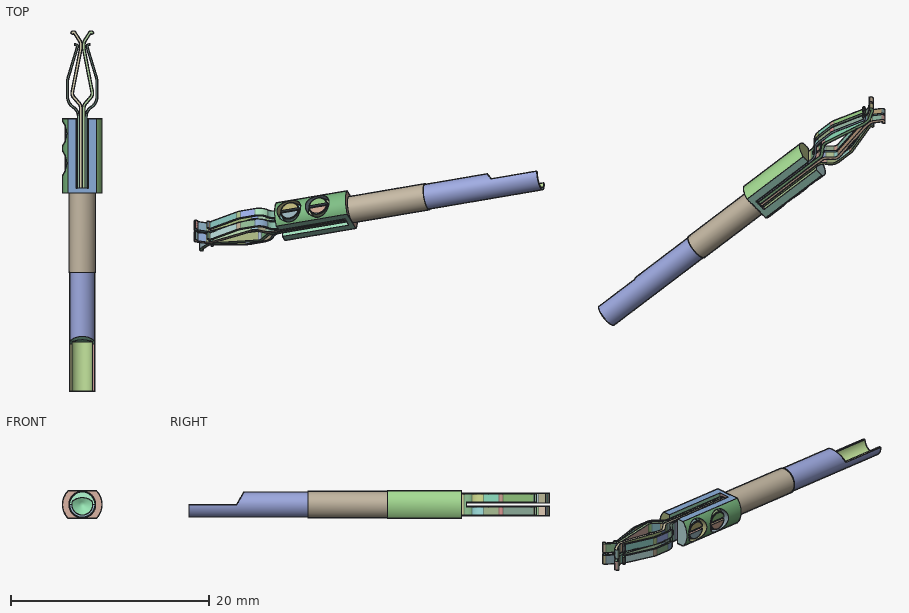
import cadquery as cq
import math

TOTAL_LENGTH = 36.35

TAIL_DIAMETER = 2.55
TAIL_LENGTH = 12.0
BORE_DIAMETER = 2.1
BORE_DEPTH = 5.0
DRILL_POINT_ANGLE = 118.0
CUP_FLOOR_LENGTH = 4.8
CUP_SLANT_ANGLE = 30.0

COLLAR_DIAMETER = 2.7
COLLAR_LENGTH = 8.0

BLOCK_DIAMETER = 4.0
BLOCK_HEIGHT = 2.8
BLOCK_LENGTH = 7.5
SLOT_WIDTH = 1.2
SLOT_FLOOR_THICKNESS = 0.5

SCREW_OFFSETS = (1.5, 4.5)
RECESS_DIAMETER = 2.5
RECESS_FLOOR_X = -1.0
HEAD_DIAMETER = 1.95
HEAD_CHAMFER = 0.08
HEAD_FACE_X = -1.75
DRIVER_SLOT_WIDTH = 0.3
DRIVER_SLOT_DEPTH = 0.3

INNER_LEAF_THICKNESS = 0.28
INNER_LEAF_HEIGHT = 2.3
INNER_SLIT_HEIGHT = 0.3
OUTER_LEAF_THICKNESS = 0.2
OUTER_LEAF_HEIGHT = 2.1
OUTER_SLIT_HEIGHT = 0.5
LEAF_CENTRE_GAP = 0.04
SLIT_START_FROM_BLOCK = 0.5
SLIT_OVERRUN = 0.5

BLOCK_BACK = TAIL_LENGTH + COLLAR_LENGTH
BLOCK_FRONT = BLOCK_BACK + BLOCK_LENGTH
SLOT_FLOOR = BLOCK_BACK + SLOT_FLOOR_THICKNESS
SLIT_START = BLOCK_FRONT + SLIT_START_FROM_BLOCK
INNER_STEM_X = (LEAF_CENTRE_GAP + INNER_LEAF_THICKNESS) / 2
OUTER_STEM_X = LEAF_CENTRE_GAP / 2 + INNER_LEAF_THICKNESS + OUTER_LEAF_THICKNESS / 2

INNER_LEAF_PATH = (
    (INNER_STEM_X, SLOT_FLOOR, 0),
    (INNER_STEM_X, 28.85, 0.6),
    (1.06, 29.88, 0.6),
    (INNER_STEM_X, 34.5, 0.3),
    (INNER_STEM_X, 35.2, 0.5),
    (0.88, 36.34, 0.15),
    (1.08, 36.04, 0),
)
OUTER_LEAF_PATH = (
    (OUTER_STEM_X, SLOT_FLOOR, 0),
    (OUTER_STEM_X, 28.32, 1.05),
    (1.48, 29.02, 1.27),
    (1.48, 31.45, 1.4),
    (0.42, 34.95, 0.18),
    (0.76, 34.95, 0),
)


def rod(diameter, start_y, end_y):
    """Round bar along Y."""
    return cq.Workplane("XZ", origin=(0, start_y, 0)).circle(diameter / 2).extrude(start_y - end_y)


def solder_tail():
    """Tail bar, drilled from its end and cut open above mid-height."""
    radius = TAIL_DIAMETER / 2
    bore_radius = BORE_DIAMETER / 2
    point_depth = bore_radius / math.tan(math.radians(DRILL_POINT_ANGLE / 2))
    bore = (
        cq.Workplane("XY")
        .moveTo(0, 0)
        .lineTo(bore_radius, 0)
        .lineTo(bore_radius, BORE_DEPTH)
        .lineTo(0, BORE_DEPTH + point_depth)
        .close()
        .revolve(360, (0, 0, 0), (0, 1, 0))
    )
    slant_run = radius * math.tan(math.radians(CUP_SLANT_ANGLE))
    opening = (
        cq.Workplane("YZ")
        .moveTo(0, 0)
        .lineTo(CUP_FLOOR_LENGTH, 0)
        .lineTo(CUP_FLOOR_LENGTH + slant_run, radius)
        .lineTo(0, radius)
        .close()
        .extrude(radius, both=True)
    )
    return rod(TAIL_DIAMETER, 0, TAIL_LENGTH).cut(bore).cut(opening)


def clamp_block():
    """Flatted block with a vertical slot open to the front."""
    flats = cq.Workplane("XY").box(
        BLOCK_DIAMETER, BLOCK_LENGTH, BLOCK_HEIGHT
    ).translate((0, BLOCK_BACK + BLOCK_LENGTH / 2, 0))
    slot_length = BLOCK_FRONT - SLOT_FLOOR
    slot = cq.Workplane("XY").box(
        SLOT_WIDTH, slot_length, BLOCK_HEIGHT
    ).translate((0, SLOT_FLOOR + slot_length / 2, 0))
    return rod(BLOCK_DIAMETER, BLOCK_BACK, BLOCK_FRONT).intersect(flats).cut(slot)


def add_screw(body, y):
    """Round recess in the -X side, holding a slotted, chamfered screw head."""
    floor = cq.Workplane("YZ", origin=(RECESS_FLOOR_X, y, 0))
    recess = floor.circle(RECESS_DIAMETER / 2).extrude(-BLOCK_DIAMETER / 2)
    head = floor.circle(HEAD_DIAMETER / 2).extrude(HEAD_FACE_X - RECESS_FLOOR_X)
    head = head.faces("<X").chamfer(HEAD_CHAMFER)
    driver_slot = (
        cq.Workplane("YZ", origin=(HEAD_FACE_X, y, 0))
        .rect(HEAD_DIAMETER, DRIVER_SLOT_WIDTH)
        .extrude(DRIVER_SLOT_DEPTH)
    )
    return body.cut(recess).union(head.cut(driver_slot))


def rounded_path(points):
    """Wire through (x, y, radius) points with a tangent arc at each bend."""
    path = cq.Workplane("XY").moveTo(points[0][0], points[0][1])
    for before, bend, after in zip(points, points[1:], points[2:]):
        corner = cq.Vector(bend[0], bend[1])
        to_before = (cq.Vector(before[0], before[1]) - corner).normalized()
        to_after = (cq.Vector(after[0], after[1]) - corner).normalized()
        half_angle = to_before.getAngle(to_after) / 2
        radius = bend[2]
        tangent_length = radius / math.tan(half_angle)
        arc_start = corner + to_before * tangent_length
        arc_end = corner + to_after * tangent_length
        bisector = (to_before + to_after).normalized()
        arc_middle = corner + bisector * (radius / math.sin(half_angle) - radius)
        path = path.lineTo(arc_start.x, arc_start.y)
        path = path.threePointArc((arc_middle.x, arc_middle.y), (arc_end.x, arc_end.y))
    return path.lineTo(points[-1][0], points[-1][1])


def leaf_pair(points, thickness, height, slit_height):
    """One bent leaf and its mirror image, both slit ahead of the block."""
    section = cq.Workplane("XZ", origin=(points[0][0], points[0][1], 0)).rect(thickness, height)
    leaf = section.sweep(rounded_path(points))
    slit_length = TOTAL_LENGTH + SLIT_OVERRUN - SLIT_START
    slit = cq.Workplane("XY").box(
        BLOCK_DIAMETER, slit_length, slit_height
    ).translate((0, SLIT_START + slit_length / 2, 0))
    leaf = leaf.cut(slit)
    return leaf.union(leaf.mirror("YZ"))


collar = rod(COLLAR_DIAMETER, TAIL_LENGTH, BLOCK_BACK)
body = solder_tail().union(collar).union(clamp_block())
for offset in SCREW_OFFSETS:
    body = add_screw(body, BLOCK_FRONT - offset)
inner_leaves = leaf_pair(INNER_LEAF_PATH, INNER_LEAF_THICKNESS, INNER_LEAF_HEIGHT, INNER_SLIT_HEIGHT)
outer_leaves = leaf_pair(OUTER_LEAF_PATH, OUTER_LEAF_THICKNESS, OUTER_LEAF_HEIGHT, OUTER_SLIT_HEIGHT)
result = body.union(inner_leaves).union(outer_leaves)